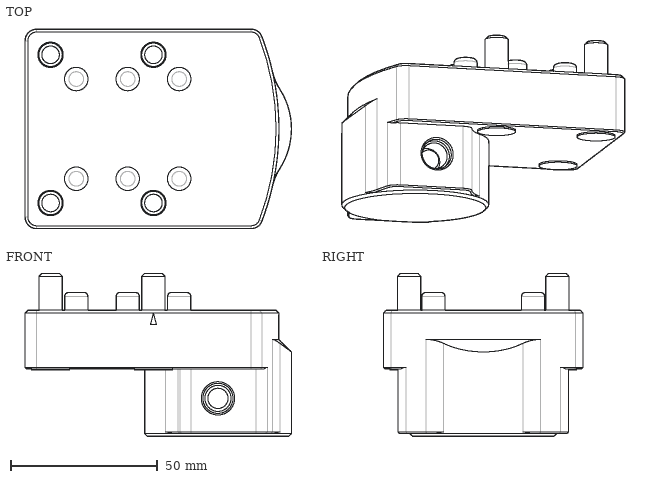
import cadquery as cq
import math

OVERALL_LENGTH = 90.75

PORT_HEIGHT = 13.0
PLATE_BOTTOM = 23.05
SHOULDER_TOP = 33.0
PLATE_TOP = 43.0
STUD_TOP = 49.1
BOLT_TOP = 55.5

PLATE_WIDTH = 68.0
PLATE_TIP = 86.5
END_RADIUS = 88.0
PLATE_CORNER = 4.0
EDGE_CHAMFER = 1.0
SMALL_CHAMFER = 0.5
END_CENTRE = PLATE_TIP - END_RADIUS

BARREL_RADIUS = 25.05
BARREL_X = OVERALL_LENGTH - BARREL_RADIUS
EAR_BOTTOM = EDGE_CHAMFER
EAR_REACH = 29.0
EAR_FACE_START = 56.5
EAR_CORNER = 4.0
EAR_ROOT = 18.9
EAR_FLAT = 1.8

PORT_MOUTH_DIA = 11.3
PORT_DIA = 10.3
PORT_DEPTH = 3.1
BORE_DIA = 8.9
PORT_CONE_ANGLE = 68.0

ROD_LENGTH = 36.3
ROD_TIP_DIA = 6.9
ROD_TIP_LENGTH = 2.4

BOLT_DIA = 8.0
BOLT_HOLE_DIA = 8.6
HEAD_DIA = 13.0
HEAD_HEIGHT = 8.0
HEAD_STANDOUT = 0.5
BOLT_PITCH = 35.0
BOLTS_PER_ROW = 2
BOLT_X = 8.7
BOLT_Y = 25.2
STUD_DIA = 8.0
STUD_ROUND = 1.5
STUD_PITCH = BOLT_PITCH / 2
STUDS_PER_ROW = 3
STUD_Y = 17.0

POINTER_WIDTH = 2.0
POINTER_HEIGHT = 3.9
POINTER_DEPTH = 0.1

HEAD_BOTTOM = PLATE_BOTTOM - HEAD_STANDOUT
HEAD_TOP = HEAD_BOTTOM + HEAD_HEIGHT
SIDES = (-1, 1)
BOLT_PLACES = [(BOLT_X + i * BOLT_PITCH, side * BOLT_Y) for i in range(BOLTS_PER_ROW) for side in SIDES]
STUD_PLACES = [
    (BOLT_X + STUD_PITCH / 2 + i * STUD_PITCH, side * STUD_Y)
    for i in range(STUDS_PER_ROW)
    for side in SIDES
]


def upright(diameter, bottom, top, places):
    """Equal vertical cylinders between two heights."""
    return (
        cq.Workplane("XY", origin=(0, 0, bottom))
        .pushPoints(places)
        .circle(diameter / 2)
        .extrude(top - bottom)
    )


def make_plate():
    """Rectangular plate whose right end is an arc, with rounded and chamfered edges."""
    half = PLATE_WIDTH / 2
    corner_x = END_CENTRE + math.sqrt(END_RADIUS**2 - half**2)
    return (
        cq.Workplane("XY", origin=(0, 0, PLATE_BOTTOM))
        .moveTo(0, -half)
        .lineTo(corner_x, -half)
        .threePointArc((PLATE_TIP, 0), (corner_x, half))
        .lineTo(0, half)
        .close()
        .extrude(PLATE_TOP - PLATE_BOTTOM)
        .edges("|Z")
        .fillet(PLATE_CORNER)
        .faces(">Z")
        .chamfer(EDGE_CHAMFER)
        .faces("<Z")
        .chamfer(SMALL_CHAMFER)
    )


def along(start, end, distance):
    """Point at a distance from start on the way to end."""
    share = distance / math.dist(start, end)
    return tuple(s + share * (e - s) for s, e in zip(start, end))


def arc_middle(centre, first, last, radius):
    """Middle point of the shorter arc between two points of a circle."""
    chord_middle = ((first[0] + last[0]) / 2, (first[1] + last[1]) / 2)
    return along(centre, chord_middle, radius)


def circle_crossing(centre_a, radius_a, centre_b, radius_b):
    """Crossing of two circles on the right-hand side when going from centre_a to centre_b."""
    spacing = math.dist(centre_a, centre_b)
    cosine = (radius_a**2 + spacing**2 - radius_b**2) / (2 * radius_a * spacing)
    heading = math.atan2(centre_b[1] - centre_a[1], centre_b[0] - centre_a[0])
    angle = heading - math.acos(cosine)
    return (centre_a[0] + radius_a * math.cos(angle), centre_a[1] + radius_a * math.sin(angle))


def make_ear():
    """Ear on the -Y side of the barrel, chamfered at the bottom.

    Each flank blends into the barrel with a concave root arc and into the face with a corner arc.
    Between those, the left flank is flat and the right flank is flush with the end of the plate.
    """
    barrel = (BARREL_X, 0)
    plate_end = (END_CENTRE, 0)
    corner_y = EAR_CORNER - EAR_REACH
    root_to_barrel = BARREL_RADIUS + EAR_ROOT

    corner = (EAR_FACE_START, corner_y)
    root_to_corner = math.hypot(EAR_CORNER + EAR_ROOT, EAR_FLAT)
    root = circle_crossing(barrel, root_to_barrel, corner, root_to_corner)
    to_root = math.atan2(root[1] - corner[1], root[0] - corner[0])
    square_to_flat = to_root + math.atan2(EAR_FLAT, EAR_CORNER + EAR_ROOT)
    across = (math.cos(square_to_flat), math.sin(square_to_flat))
    left_start = along(barrel, root, BARREL_RADIUS)
    flat_start = (root[0] - EAR_ROOT * across[0], root[1] - EAR_ROOT * across[1])
    flat_end = (corner[0] + EAR_CORNER * across[0], corner[1] + EAR_CORNER * across[1])
    face_start = (corner[0], -EAR_REACH)
    left_root_middle = arc_middle(root, left_start, flat_start, EAR_ROOT)
    left_corner_middle = arc_middle(corner, flat_end, face_start, EAR_CORNER)

    corner = (END_CENTRE + math.sqrt((END_RADIUS - EAR_CORNER) ** 2 - corner_y**2), corner_y)
    root = circle_crossing(plate_end, END_RADIUS + EAR_ROOT, barrel, root_to_barrel)
    face_end = (corner[0], -EAR_REACH)
    flush_start = along(plate_end, corner, END_RADIUS)
    flush_end = along(plate_end, root, END_RADIUS)
    right_end = along(barrel, root, BARREL_RADIUS)
    right_corner_middle = arc_middle(corner, face_end, flush_start, EAR_CORNER)
    flush_middle = arc_middle(plate_end, flush_start, flush_end, END_RADIUS)
    right_root_middle = arc_middle(root, flush_end, right_end, EAR_ROOT)

    return (
        cq.Workplane("XY", origin=(0, 0, EAR_BOTTOM))
        .moveTo(*left_start)
        .threePointArc(left_root_middle, flat_start)
        .lineTo(*flat_end)
        .threePointArc(left_corner_middle, face_start)
        .lineTo(*face_end)
        .threePointArc(right_corner_middle, flush_start)
        .threePointArc(flush_middle, flush_end)
        .threePointArc(right_root_middle, right_end)
        .close()
        .extrude(SHOULDER_TOP - EAR_BOTTOM)
        .faces("<Z")
        .chamfer(SMALL_CHAMFER)
    )


def make_shoulder_envelope():
    """Space under a 45 degree cone that falls away from the convex end of the plate."""
    cone_foot = END_RADIUS + SHOULDER_TOP
    return (
        cq.Workplane("XZ", origin=(END_CENTRE, 0, 0))
        .polyline([(0, 0), (cone_foot, 0), (END_RADIUS, SHOULDER_TOP), (0, SHOULDER_TOP)])
        .close()
        .revolve(360, (0, 0, 0), (0, 1, 0))
    )


def make_base():
    """Barrel and ears below the plate, rising as a sloped shoulder beyond its convex end."""
    barrel = upright(2 * BARREL_RADIUS, 0, SHOULDER_TOP, [(BARREL_X, 0)])
    barrel = barrel.faces("<Z").chamfer(EDGE_CHAMFER)
    ear = make_ear()
    base = barrel.union(ear).union(ear.mirror("XZ"))
    return base.intersect(make_shoulder_envelope())


def turned_on_port_axis(half):
    """Solid of revolution about the port axis, the same at both ends.

    half lists the (radius, y) corners of the +Y half, ending at the end face.
    """
    end = half[-1][1]
    mirrored = [(radius, -y) for radius, y in reversed(half)]
    return (
        cq.Workplane("XY")
        .polyline([(0, -end), *mirrored, *half, (0, end)])
        .close()
        .revolve(360, (0, 0, 0), (0, 1, 0))
        .translate((BARREL_X, 0, PORT_HEIGHT))
    )


def make_port():
    """Cavity along Y: a chamfered, stepped mouth at each ear and a bore between them."""
    mouth_radius = PORT_MOUTH_DIA / 2
    port_radius = PORT_DIA / 2
    bore_radius = BORE_DIA / 2
    port_end = EAR_REACH - PORT_DEPTH
    cone_end = port_end - (port_radius - bore_radius) / math.tan(math.radians(PORT_CONE_ANGLE))
    chamfer_end = EAR_REACH - (mouth_radius - port_radius)
    half = [
        (bore_radius, cone_end),
        (port_radius, port_end),
        (port_radius, chamfer_end),
        (mouth_radius, EAR_REACH),
    ]
    return turned_on_port_axis(half)


def make_studs():
    """Short round-topped studs standing on the plate."""
    studs = upright(STUD_DIA, PLATE_TOP, STUD_TOP, STUD_PLACES)
    return studs.faces(">Z").edges().fillet(STUD_ROUND)


def make_pointer():
    """Cutter for the shallow triangle on the -Y wall of the plate, in line with the second bolts."""
    tip_z = PLATE_TOP - EDGE_CHAMFER
    foot_z = tip_z - POINTER_HEIGHT
    middle = BOLT_X + BOLT_PITCH
    half = POINTER_WIDTH / 2
    return (
        cq.Workplane("XZ", origin=(0, -PLATE_WIDTH / 2, 0))
        .polyline([(middle - half, foot_z), (middle + half, foot_z), (middle, tip_z)])
        .close()
        .extrude(-POINTER_DEPTH)
    )


def make_housing():
    """Plate, base and studs in one piece, with the port, bolt holes and pointer cut out."""
    housing = make_plate().union(make_base()).union(make_studs())
    housing = housing.cut(make_port())
    housing = housing.cut(upright(BOLT_HOLE_DIA, PLATE_BOTTOM, PLATE_TOP, BOLT_PLACES))
    housing = housing.cut(upright(HEAD_DIA, PLATE_BOTTOM, HEAD_TOP, BOLT_PLACES))
    return housing.cut(make_pointer())


def make_bolt(place):
    """Upward bolt with a chamfered end and a round head let into the plate from below."""
    head = upright(HEAD_DIA, HEAD_BOTTOM, HEAD_TOP, [place])
    shank = upright(BOLT_DIA, HEAD_TOP, BOLT_TOP, [place]).faces(">Z").chamfer(EDGE_CHAMFER)
    return head.union(shank)


def make_rod():
    """Rod filling the port bore, tapered at both ends."""
    tip = ROD_LENGTH / 2
    shoulder = tip - ROD_TIP_LENGTH
    radius = BORE_DIA / 2
    tip_radius = ROD_TIP_DIA / 2
    return turned_on_port_axis([(radius, shoulder), (tip_radius, tip)])


housing = make_housing()
bolts = [make_bolt(place) for place in BOLT_PLACES]
rod = make_rod()

result = cq.Compound.makeCompound([housing.val(), *[bolt.val() for bolt in bolts], rod.val()])